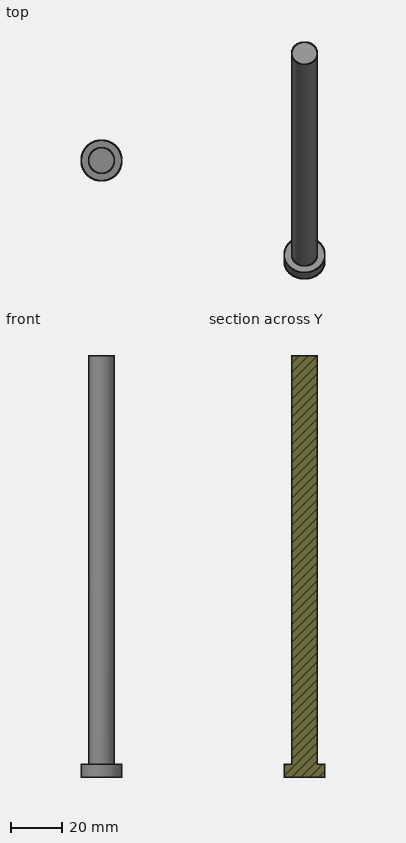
import cadquery as cq

total_length = 165.0
head_diameter = 16.0
head_height = 5.1
shaft_diameter = 10.0

head = cq.Workplane("XY").circle(head_diameter / 2).extrude(head_height)
shaft = cq.Workplane("XY").circle(shaft_diameter / 2).extrude(total_length)

result = head.union(shaft)